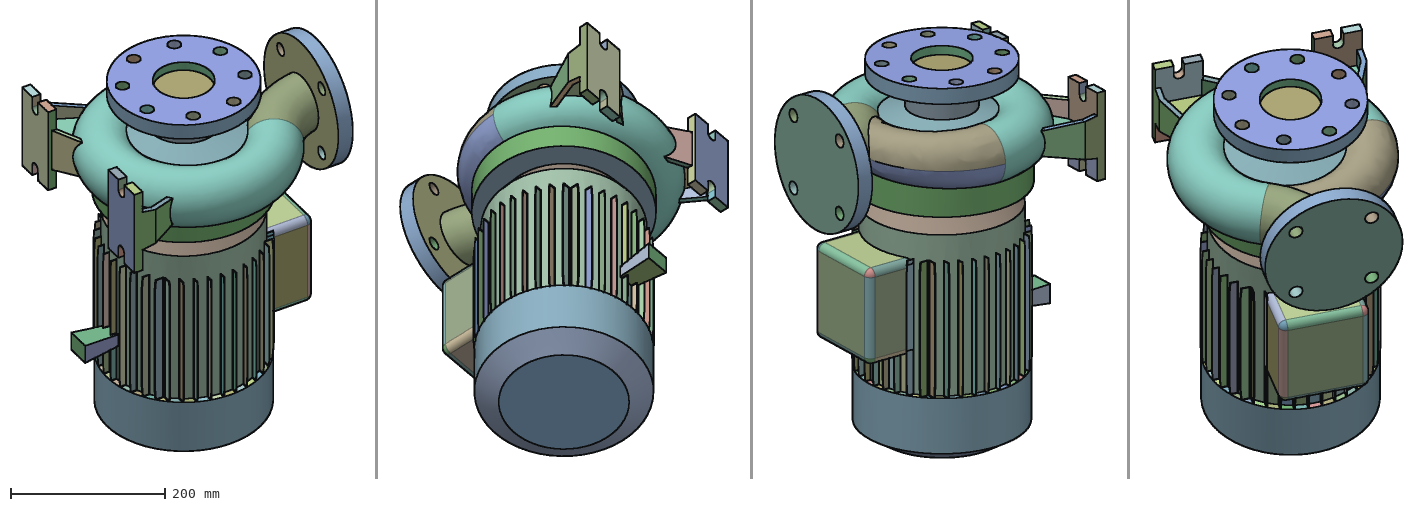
import cadquery as cq
import math


total_height = 528.0
pump_mid_z = 428.0
discharge_face_y = 200.0
foot_face_y = -160.0
flange_thickness = 22.0
bolt_hole_radius = 9.0

suction_flange_radius = 100.0
suction_bolt_circle_radius = 80.0
suction_bolt_count = 8
suction_bore_radius = 40.0
suction_bore_depth = 12.5
neck_radius = 48.0

discharge_flange_radius = 93.0
discharge_bolt_circle_radius = 72.5
discharge_bolt_count = 4

tube_radius = 40.0
volute_bend_radius = 110.5
volute_offset_x = 10.0
taper_end_axis_radius = 103.0
taper_tube_shrink = 7.0
taper_sweep_angle = 110.0
taper_section_count = 5

drum_radius = 119.5
drum_bottom_z = 355.0
cover_radius = 100.5
cover_rim_z = 446.5
cover_neck_z = 461.5

motor_radius = 116.0
motor_foot_radius = 84.5
motor_foot_height = 19.5
fin_bottom_z = 97.5
fin_top_z = 288.5
frame_radius = 107.5
cone_bottom_z = 324.5
cone_top_radius = 87.5

fins_per_side = 10
fin_pitch_angle = 90.0 / fins_per_side
fin_thickness = 1.0
fin_root_radius = 103.0
fin_tip_radius = 117.0
fin_tip_taper_height = 17.0

box_width = 121.5
box_face_y = 160.5
box_height = 134.5
box_fillet = 10.0

support_width = 35.0
support_height = 27.5
support_mid_z = 161.0
support_taper_angle = 4.9

pad_outer_x = 140.0
pad_width = 65.0
pad_height = 124.5
pad_thickness = 12.5
slot_width = 14.0
slot_depth = 22.5
leg_wall = 7.5
leg_root_half_height = 30.0
leg_height_slope = 0.17
leg_corner_y = -128.0
leg_outer_tip = (103.0, -49.5)
leg_inner_tip = (16.0, -121.0)


def revolve_about_shaft(profile):
    return cq.Workplane("XZ").polyline(profile).close().revolve(360, (0, 0), (0, 1))


def make_flange(face, radius, bolt_circle_radius, bolt_count):
    """Flange drilled with bolt holes that straddle its axes, grown back from its face plane."""
    disc = face.circle(radius).extrude(-flange_thickness)
    half_pitch = 180.0 / bolt_count
    holes = (
        face.polarArray(bolt_circle_radius, half_pitch, 360, bolt_count)
        .circle(bolt_hole_radius)
        .extrude(-flange_thickness)
    )
    return disc.cut(holes)


def make_suction():
    face = cq.Workplane("XY").workplane(offset=total_height)
    flange = make_flange(face, suction_flange_radius, suction_bolt_circle_radius, suction_bolt_count)
    bore = face.circle(suction_bore_radius).extrude(-suction_bore_depth)
    neck_length = total_height - flange_thickness - pump_mid_z
    neck = cq.Workplane("XY", origin=(0, 0, pump_mid_z)).circle(neck_radius).extrude(neck_length)
    return flange.cut(bore).union(neck)


def make_discharge_flange():
    face = cq.Workplane("XZ", origin=(0, discharge_face_y, pump_mid_z)).transformed(rotate=(0, 180, 0))
    return make_flange(face, discharge_flange_radius, discharge_bolt_circle_radius, discharge_bolt_count)


def make_volute_tube():
    """Tube from -X round the -Y side, then bent back tangentially to meet the discharge face on X = 0."""
    return_bend_radius = (
        discharge_face_y**2 + volute_offset_x**2 - volute_bend_radius**2
    ) / (2 * (volute_bend_radius + volute_offset_x))
    join_angle = math.asin(discharge_face_y / (volute_bend_radius + return_bend_radius))

    def volute_point(angle):
        return (
            volute_offset_x + volute_bend_radius * math.cos(angle),
            volute_bend_radius * math.sin(angle),
        )

    def return_point(angle):
        return (
            return_bend_radius * (1 - math.cos(angle)),
            discharge_face_y - return_bend_radius * math.sin(angle),
        )

    start = volute_point(math.pi)
    path = (
        cq.Workplane("XY", origin=(0, 0, pump_mid_z))
        .moveTo(*start)
        .threePointArc(volute_point((join_angle - math.pi) / 2), volute_point(join_angle))
        .threePointArc(return_point(join_angle / 2), return_point(0))
    )
    return cq.Workplane("XZ", origin=(start[0], 0, pump_mid_z)).circle(tube_radius).sweep(path)


def make_volute_taper():
    """Narrowing tube from -X over the +Y side, ending inside the discharge bend."""
    start_axis_radius = volute_bend_radius - volute_offset_x
    sections = []
    for index in range(taper_section_count):
        turned = taper_sweep_angle * index / (taper_section_count - 1)
        quarter_turns = turned / 90
        angle = math.radians(180 - turned)
        axis_radius = start_axis_radius + (taper_end_axis_radius - start_axis_radius) * quarter_turns
        centre = cq.Vector(axis_radius * math.cos(angle), axis_radius * math.sin(angle), pump_mid_z)
        along = cq.Vector(math.sin(angle), -math.cos(angle), 0)
        radius = tube_radius - taper_tube_shrink * quarter_turns
        sections.append(cq.Wire.makeCircle(radius, centre, along))
    return cq.Workplane("XY").add(cq.Solid.makeLoft(sections))


def make_casing():
    """Drum inside the volute ring, closed on top by a shallow cone."""
    profile = [
        (0, drum_bottom_z),
        (drum_radius, drum_bottom_z),
        (drum_radius, pump_mid_z),
        (cover_radius, pump_mid_z),
        (cover_radius, cover_rim_z),
        (neck_radius, cover_neck_z),
        (0, cover_neck_z),
    ]
    return revolve_about_shaft(profile)


def make_motor_body():
    profile = [
        (0, 0),
        (motor_foot_radius, 0),
        (motor_radius, motor_foot_height),
        (motor_radius, fin_bottom_z),
        (frame_radius, fin_bottom_z),
        (frame_radius, cone_bottom_z),
        (cone_top_radius, drum_bottom_z),
        (0, drum_bottom_z),
    ]
    return revolve_about_shaft(profile)


def make_fins():
    """Four banks of parallel plates, trimmed by a barrel that is slightly narrower at its ends."""
    fin_height = fin_top_z - fin_bottom_z
    plates = cq.Workplane("XY")
    for index in range(fins_per_side):
        angle = math.radians(fin_pitch_angle * (index + 0.5) - 45)
        offset = motor_radius * math.sin(angle)
        inner_reach = math.sqrt(fin_root_radius**2 - offset**2)
        length = fin_tip_radius - inner_reach
        plate = (
            cq.Workplane("XY", origin=(inner_reach + length / 2, offset, fin_bottom_z))
            .box(length, fin_thickness, fin_height, centered=(True, True, False))
        )
        for quarter in range(4):
            plates.add(plate.rotate((0, 0, 0), (0, 0, 1), 90 * quarter))
    barrel_profile = [
        (0, fin_bottom_z),
        (motor_radius, fin_bottom_z),
        (fin_tip_radius, fin_bottom_z + fin_tip_taper_height),
        (fin_tip_radius, fin_top_z - fin_tip_taper_height),
        (motor_radius, fin_top_z),
        (0, fin_top_z),
    ]
    return plates.combine().intersect(revolve_about_shaft(barrel_profile))


def make_terminal_box():
    """Box reaching from the shaft axis out through the fins on the +Y side."""
    return (
        cq.Workplane("XY", origin=(0, 0, fin_top_z - box_height))
        .box(box_width, box_face_y, box_height, centered=(True, False, False))
        .edges("|Y or >Y")
        .fillet(box_fillet)
    )


def make_motor_support():
    """Block that narrows from the foot plane inwards until it is buried in the motor frame."""
    length = -foot_face_y - cone_top_radius
    return (
        cq.Workplane("XZ", origin=(0, foot_face_y, support_mid_z))
        .rect(support_width, support_height)
        .extrude(-length, taper=support_taper_angle)
    )


def make_foot():
    """Foot on the +X side: slotted pad and a hollow leg with a horizontal web at mid height."""
    pad_back_y = foot_face_y + pad_thickness
    pad_inner_x = pad_outer_x - pad_width
    pad_mid_x = pad_outer_x - pad_width / 2
    pad = (
        cq.Workplane("XY", origin=(pad_mid_x, foot_face_y, pump_mid_z))
        .box(pad_width, pad_thickness, pad_height, centered=(True, False, True))
    )
    slots = (
        cq.Workplane("XZ", origin=(pad_mid_x, pad_back_y, pump_mid_z))
        .pushPoints([(0, pad_height / 2), (0, -pad_height / 2)])
        .slot2D(2 * slot_depth, slot_width, 90)
        .extrude(pad_thickness)
    )

    leg_outline = [
        (pad_inner_x, pad_back_y - leg_wall),
        (pad_outer_x, pad_back_y - leg_wall),
        (pad_outer_x, leg_corner_y),
        leg_outer_tip,
        leg_inner_tip,
    ]

    def leg_plan():
        return cq.Workplane("XY", origin=(0, 0, pump_mid_z)).polyline(leg_outline).close()

    walls = leg_plan().extrude(pad_height / 2, both=True)
    hollow = leg_plan().offset2D(-leg_wall, "intersection").extrude(pad_height / 2, both=True)
    web = leg_plan().extrude(leg_wall / 2, both=True)

    tip_half_height = leg_root_half_height - leg_height_slope * -pad_back_y
    front_half_height = leg_root_half_height + leg_height_slope * pad_thickness
    envelope = (
        cq.Workplane("YZ", origin=(0, 0, pump_mid_z))
        .polyline([
            (foot_face_y, -front_half_height),
            (0, -tip_half_height),
            (0, tip_half_height),
            (foot_face_y, front_half_height),
        ])
        .close()
        .extrude(pad_outer_x)
    )
    leg = walls.cut(hollow).union(web).intersect(envelope)
    return pad.cut(slots).union(leg)


foot = make_foot()
result = (
    make_motor_body()
    .union(make_fins())
    .union(make_terminal_box())
    .union(make_motor_support())
    .union(make_casing())
    .union(make_volute_tube())
    .union(make_volute_taper())
    .union(make_suction())
    .union(make_discharge_flange())
    .union(foot)
    .union(foot.mirror("YZ"))
)